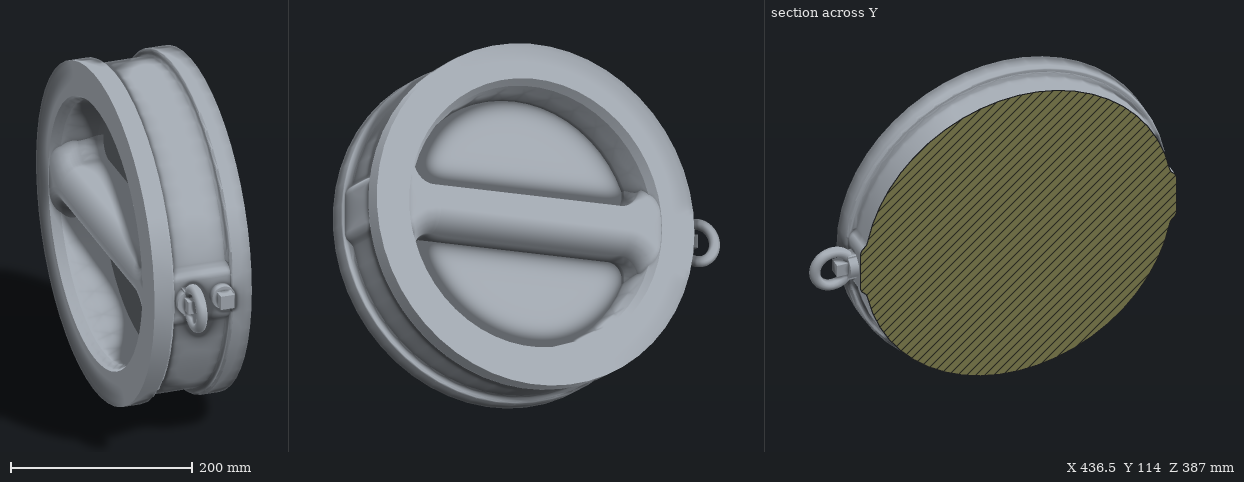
import cadquery as cq
import math

overall_length = 436.5
flange_diameter = 387.0
flange_radius = flange_diameter / 2
body_width = 114.0
front_y = -body_width / 2
body_radius = 185.0
flange_thickness = 21.5
flange_edge_round = 2.5
flange_root_round = 3.5
waist_half = body_width / 2 - flange_thickness - flange_edge_round

mouth_radius = 154.0
throat_radius = 148.0
floor_radius = 141.5
mouth_depth = 10.5
pocket_depth = 56.7
floor_rim_height = 7.0

bar_foot_half_width = 29.0
bar_half_width = 28.0
bar_straight_half = 114.5
bar_sink = 1.0
bar_round = 27.5
foot_flare_radius = 17.0
flare_radius = 23.5
flare_reach_z = 87.5
edge_margin = 4.5

pad_x = 190.0
pad_flat_half = 21.5
pad_blend = 11.5
pad_inner_x = 161.5

collar_height = 10.0
plug_y = 22.0
plug_diameter = 26.5
plug_head_size = 16.0
head_length = 13.0
eye_y = -17.0
eye_collar_diameter = 30.0
eye_neck_thickness = 15.0
ring_outer_diameter = 54.5
ring_inner_diameter = 30.0


def revolve_about_y(profile):
    return profile.close().revolve(360, (0, 0, 0), (0, 1, 0))


def make_drum():
    rim_x = flange_radius
    waist_x = body_radius
    edge = flange_edge_round
    root = flange_root_round
    edge_mid = edge * (1 - math.sqrt(0.5))
    root_mid = root * (1 - math.sqrt(0.5))
    back_y = -front_y
    profile = (
        cq.Workplane("XY")
        .moveTo(0, front_y)
        .lineTo(rim_x, front_y)
        .lineTo(rim_x, -waist_half - edge)
        .threePointArc((rim_x - edge_mid, -waist_half - edge_mid), (rim_x - edge, -waist_half))
        .lineTo(waist_x + root, -waist_half)
        .threePointArc((waist_x + root_mid, -waist_half + root_mid), (waist_x, -waist_half + root))
        .lineTo(waist_x, waist_half - root)
        .threePointArc((waist_x + root_mid, waist_half - root_mid), (waist_x + root, waist_half))
        .lineTo(rim_x - edge, waist_half)
        .threePointArc((rim_x - edge_mid, waist_half + edge_mid), (rim_x, waist_half + edge))
        .lineTo(rim_x, back_y)
        .lineTo(0, back_y)
    )
    return revolve_about_y(profile)


def make_pocket():
    floor_y = front_y + pocket_depth
    profile = (
        cq.Workplane("XY")
        .moveTo(0, front_y)
        .lineTo(mouth_radius, front_y)
        .lineTo(throat_radius, front_y + mouth_depth)
        .lineTo(floor_radius, floor_y - floor_rim_height)
        .lineTo(floor_radius, floor_y)
        .lineTo(0, floor_y)
    )
    return revolve_about_y(profile)


def bar_outline(y, half_width, radius):
    """Dogbone outline in the plane at y, with concave flares of the given radius."""
    end_x = bar_straight_half + radius
    flare_z = half_width + radius
    mid_x = bar_straight_half + radius * math.sqrt(0.5)
    mid_z = flare_z - radius * math.sqrt(0.5)
    quarter = (
        cq.Workplane("XZ", origin=(0, y, 0))
        .moveTo(0, half_width)
        .lineTo(bar_straight_half, half_width)
        .threePointArc((mid_x, mid_z), (end_x, flare_z))
        .lineTo(end_x, flare_reach_z)
        .lineTo(flange_radius, flare_reach_z)
        .lineTo(flange_radius, 0)
    )
    return quarter.mirrorX().mirrorY()


def make_bar(pocket):
    floor_y = front_y + pocket_depth
    rim_y = floor_y - floor_rim_height
    top_y = front_y + bar_sink
    round_start_y = top_y + bar_half_width
    foot = bar_outline(floor_y, bar_foot_half_width, foot_flare_radius).extrude(floor_rim_height)
    lower_wire = bar_outline(rim_y, bar_foot_half_width, foot_flare_radius).val()
    upper_wire = bar_outline(round_start_y, bar_half_width, flare_radius).val()
    sides = cq.Workplane(cq.Solid.makeLoft([lower_wire, upper_wire], True))
    top = bar_outline(round_start_y, bar_half_width, flare_radius).extrude(bar_half_width)
    select_x = flange_radius - edge_margin
    select_z = flare_reach_z - edge_margin
    inner_edges = cq.selectors.BoxSelector(
        (-select_x, top_y - edge_margin, -select_z),
        (select_x, top_y + edge_margin, select_z),
    )
    top = top.faces("<Y").edges(inner_edges).fillet(bar_round)
    return foot.union(sides).union(top).intersect(pocket)


def make_pad():
    """Pad at +X: a flat top blended into the drum by two equal opposite arcs per side."""
    crest_x = pad_x - pad_blend
    crest_z = pad_flat_half
    hollow_distance = body_radius + pad_blend
    crest_distance = math.hypot(crest_x, crest_z)
    crest_angle = math.atan2(crest_z, crest_x)
    opening = math.acos(
        (crest_distance**2 + hollow_distance**2 - (2 * pad_blend) ** 2)
        / (2 * crest_distance * hollow_distance)
    )
    hollow_angle = crest_angle + opening
    hollow_x = hollow_distance * math.cos(hollow_angle)
    hollow_z = hollow_distance * math.sin(hollow_angle)
    meet_x = (crest_x + hollow_x) / 2
    meet_z = (crest_z + hollow_z) / 2
    foot_x = body_radius * math.cos(hollow_angle)
    foot_z = body_radius * math.sin(hollow_angle)
    half_pad = (
        cq.Workplane("XZ", origin=(0, waist_half, 0))
        .moveTo(pad_x, 0)
        .lineTo(pad_x, crest_z)
        .tangentArcPoint((meet_x, meet_z), relative=False)
        .tangentArcPoint((foot_x, foot_z), relative=False)
        .lineTo(pad_inner_x, foot_z)
        .lineTo(pad_inner_x, 0)
        .close()
        .extrude(2 * waist_half)
    )
    return half_pad.union(half_pad.mirror("XY"))


def make_plug(y, collar_diameter, square):
    """Round collar with a square head, standing on the +X pad."""
    seat = cq.Workplane("YZ", origin=(pad_x, y, 0))
    collar = seat.circle(collar_diameter / 2).extrude(collar_height)
    return collar.union(seat.rect(square, square).extrude(collar_height + head_length))


def make_eye():
    """Collared stud with a lifting ring standing around its square head."""
    ring_x = overall_length - flange_radius - ring_outer_diameter / 2
    tube_diameter = (ring_outer_diameter - ring_inner_diameter) / 2
    ring_radius = (ring_inner_diameter + tube_diameter) / 2
    ring = (
        cq.Workplane("XY")
        .center(ring_x, eye_y)
        .moveTo(-ring_radius, 0)
        .circle(tube_diameter / 2)
        .revolve(360, (0, 0, 0), (0, 1, 0))
    )
    neck = (
        cq.Workplane("YZ", origin=(pad_x, eye_y, 0))
        .rect(eye_neck_thickness, eye_collar_diameter)
        .extrude(collar_height)
    )
    stud = make_plug(eye_y, eye_collar_diameter, eye_neck_thickness)
    return stud.union(neck).union(ring)


pocket = make_pocket()
right_pad = make_pad()
left_pad = right_pad.mirror("YZ")

result = make_drum().union(right_pad).union(left_pad)
result = result.cut(pocket).union(make_bar(pocket))
result = result.union(make_plug(plug_y, plug_diameter, plug_head_size)).union(make_eye())